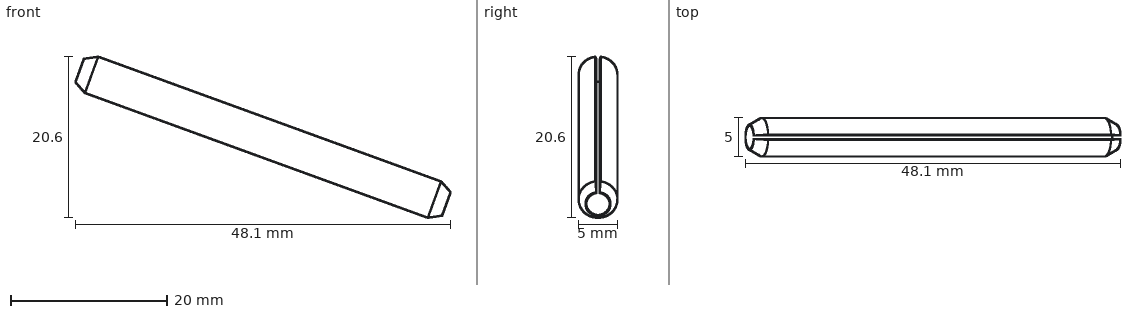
import cadquery as cq

length = 50.0
diameter = 5.0
end_diameter = 3.2
bore_diameter = 3.0
taper_length = 1.65
slot_width = 0.7
tilt_angle = 20.0


def tapered_body():
    """Solid pin along X, with a conical lead-in at both ends."""
    half_length = length / 2
    shoulder = half_length - taper_length
    profile = (
        cq.Workplane("XY")
        .moveTo(-half_length, 0)
        .lineTo(-half_length, end_diameter / 2)
        .lineTo(-shoulder, diameter / 2)
        .lineTo(shoulder, diameter / 2)
        .lineTo(half_length, end_diameter / 2)
        .lineTo(half_length, 0)
        .close()
    )
    return profile.revolve(360, (0, 0, 0), (1, 0, 0))


def bore():
    """Through hole along the pin axis."""
    return cq.Workplane("YZ").circle(bore_diameter / 2).extrude(length / 2, both=True)


def slot():
    """Full-length slit through the upper wall, with sides running toward the pin axis."""
    outer_radius = diameter / 2
    wedge_height = 2 * outer_radius
    wedge_half_width = slot_width / 2 * wedge_height / outer_radius
    wedge = (
        cq.Workplane("YZ")
        .lineTo(wedge_half_width, wedge_height)
        .lineTo(-wedge_half_width, wedge_height)
        .close()
    )
    return wedge.extrude(length / 2, both=True)


pin = tapered_body().cut(bore()).cut(slot())
result = pin.rotate((0, 0, 0), (0, 1, 0), tilt_angle)